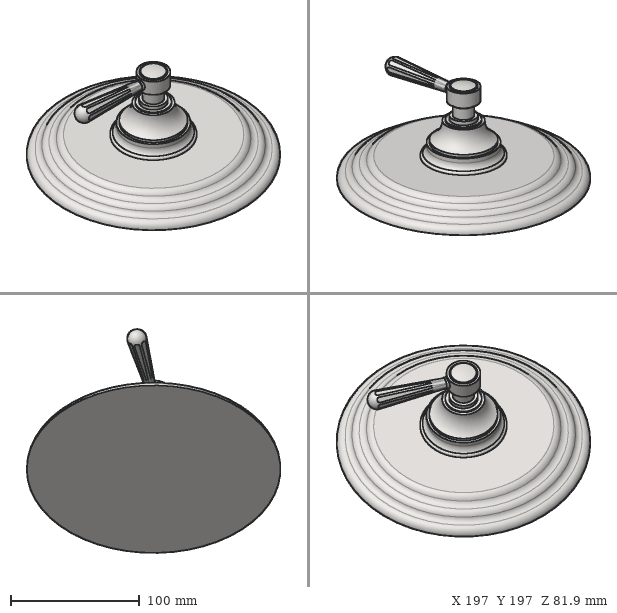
import cadquery as cq
import math

plate_radius = 98.5
rim_height = 6.5
rim_radius = plate_radius - rim_height
lower_step_radius = 86.6
lower_step_height = 10.0
lower_shelf_radius = 81.1
lower_shelf_height = 13.2
upper_step_radius = 75.4
upper_step_height = 16.1
face_radius = 69.9
plate_height = 19.7

lip_radius = 33.7
lip_height = 22.0
skirt_foot_radius = 31.7
band_radius = 28.7
band_bottom = 28.0
band_top = 31.5
bell_foot_radius = 26.5
bell_foot_height = 33.9
bell_top_radius = 16.5
bell_top_height = 50.4

washer_radius = 14.2
washer_top = 51.5
collar_radius = 11.2
collar_top = 55.0
stem_radius = 8.5
stem_top = 64.5

hub_radius = 13.2
hub_bottom = 67.5
hub_top = 80.1
cap_radius = 11.0
dome_edge_radius = 10.0
dome_edge_height = 80.7
overall_height = 81.9

lever_height = 73.8
lever_reach = 78.0
ball_radius = 7.7
ball_distance = lever_reach - ball_radius
socket_radius = 4.5
socket_end = 15.0
grip_start_radius = 4.1
facet_count = 8
facet_depth = 0.3


def bulge_point(start, end, bulge):
    """Middle point of an arc that stands off its chord by bulge, to the left of travel when positive."""
    dx = end[0] - start[0]
    dz = end[1] - start[1]
    chord = math.hypot(dx, dz)
    mid_x = (start[0] + end[0]) / 2
    mid_z = (start[1] + end[1]) / 2
    return (mid_x - dz / chord * bulge, mid_z + dx / chord * bulge)


def curve_to(profile, start, end, bulge):
    """Continue a profile from start to end with an arc of the given bulge."""
    return profile.threePointArc(bulge_point(start, end, bulge), end)


def make_plate():
    """Round plate with a quarter-round rim, then concave and convex mouldings up to the flat face."""
    moulding_bulge = 0.8
    joints = [
        (lower_step_radius, lower_step_height),
        (lower_shelf_radius, lower_shelf_height),
        (upper_step_radius, upper_step_height),
        (face_radius, plate_height),
    ]
    profile = (
        cq.Workplane("XZ")
        .lineTo(plate_radius, 0)
        .radiusArc((rim_radius, rim_height), -rim_height)
        .tangentArcPoint(joints[0], relative=False)
    )
    bulge = -moulding_bulge
    for start, end in zip(joints, joints[1:]):
        profile = curve_to(profile, start, end, bulge)
        bulge = -bulge
    profile = profile.lineTo(0, plate_height).close()
    return profile.revolve(360, (0, 0, 0), (0, 1, 0))


def make_column():
    """Turned column: flange, bell, washer, collar, stem and domed hub in one profile."""
    lip_bulge = 0.5
    skirt_bulge = 0.8
    bell_bulge = 2.8
    lip_foot = (lip_radius, plate_height)
    skirt_foot = (skirt_foot_radius, lip_height)
    skirt_top = (band_radius, band_bottom)
    bell_foot = (bell_foot_radius, bell_foot_height)
    bell_top = (bell_top_radius, bell_top_height)
    profile = cq.Workplane("XZ").lineTo(lip_radius, 0).lineTo(*lip_foot)
    profile = curve_to(profile, lip_foot, skirt_foot, -lip_bulge)
    profile = curve_to(profile, skirt_foot, skirt_top, skirt_bulge)
    profile = profile.lineTo(band_radius, band_top).lineTo(bell_foot_radius, band_top).lineTo(*bell_foot)
    profile = curve_to(profile, bell_foot, bell_top, bell_bulge)
    profile = (
        profile.lineTo(washer_radius, bell_top_height)
        .lineTo(washer_radius, washer_top)
        .lineTo(collar_radius, washer_top)
        .lineTo(collar_radius, collar_top)
        .lineTo(stem_radius, collar_top)
        .lineTo(stem_radius, stem_top)
        .lineTo(hub_radius, hub_bottom)
        .lineTo(hub_radius, hub_top)
        .lineTo(cap_radius, hub_top)
        .lineTo(dome_edge_radius, dome_edge_height)
    )
    dome_rise = overall_height - dome_edge_height
    dome_radius = (dome_edge_radius**2 + dome_rise**2) / (2 * dome_rise)
    profile = profile.radiusArc((0, overall_height), -dome_radius).close()
    return profile.revolve(360, (0, 0, 0), (0, 1, 0))


def make_lever():
    """Ball-ended tapered lever with flats that widen from the socket to the ball."""
    profile = (
        cq.Workplane("XY")
        .lineTo(socket_radius, 0)
        .lineTo(socket_radius, -socket_end)
        .lineTo(grip_start_radius, -socket_end)
        .lineTo(ball_radius, -ball_distance)
        .radiusArc((0, -lever_reach), ball_radius)
        .close()
    )
    lever = profile.revolve(360, (0, 0, 0), (0, 1, 0))

    flat_slope = (ball_radius - facet_depth - grip_start_radius) / (ball_distance - socket_end)
    flat_end_radius = grip_start_radius + flat_slope * (lever_reach - socket_end)
    clearance = 2 * ball_radius
    cutter = (
        cq.Workplane("YZ")
        .moveTo(-socket_end, grip_start_radius)
        .lineTo(-lever_reach, flat_end_radius)
        .lineTo(-lever_reach, clearance)
        .lineTo(-socket_end, clearance)
        .close()
        .extrude(ball_radius, both=True)
    )
    for index in range(facet_count):
        angle = index * 360 / facet_count
        lever = lever.cut(cutter.rotate((0, 0, 0), (0, 1, 0), angle))
    return lever.translate((0, 0, lever_height))


result = make_plate().union(make_column()).union(make_lever())